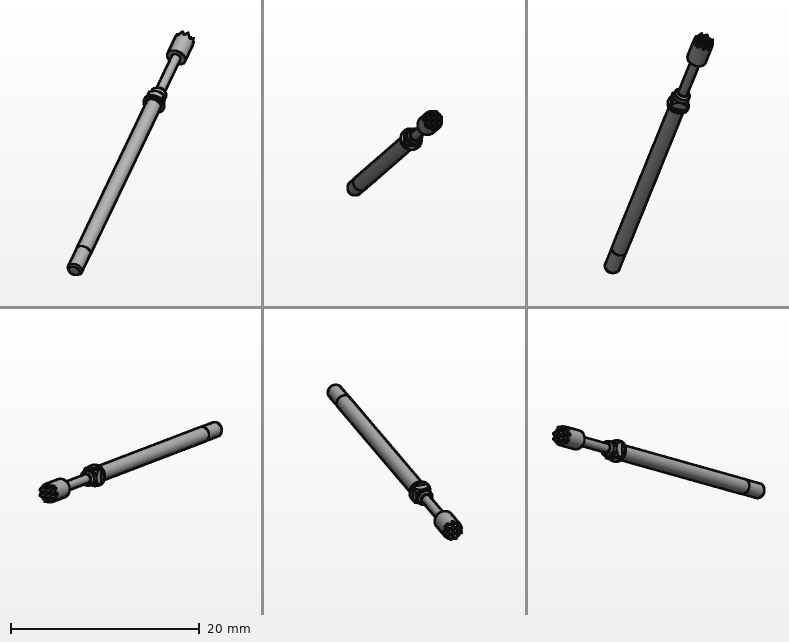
import cadquery as cq

TOTAL_LENGTH = 35.8

TAIL_LENGTH = 2.97
TAIL_DIAMETER = 1.6
TAIL_CHAMFER_LENGTH = 0.25
TAIL_CHAMFER_DEPTH = 0.18
BARREL_DIAMETER = 1.65

FLANGE_START = 25.53
FLANGE_THICKNESS = 0.3
FLANGE_DIAMETER = 2.3

SQUARE_WIDTH = BARREL_DIAMETER
SQUARE_CORNER_DIAMETER = FLANGE_DIAMETER
SQUARE_END = 26.78

TAPER_START = 27.28
MOUTH_END = 27.55
MOUTH_DIAMETER = 1.2

STEM_DIAMETER = 1.0
HEAD_START = 32.8
HEAD_DIAMETER = 2.08
CROWN_START = 35.25
CROWN_TIP_DIAMETER = 1.95

TEETH_PER_ROW = 4
TOOTH_PITCH = 0.6
TOOTH_HEIGHT = 0.5


def cylinder(diameter, start, end):
    """Cylinder along +Y between two stations."""
    return cq.Workplane("XZ", origin=(0, start, 0)).circle(diameter / 2).extrude(start - end)


def cone(start_diameter, end_diameter, start, end):
    """Truncated cone along +Y between two stations."""
    return (
        cq.Workplane("XZ", origin=(0, start, 0))
        .circle(start_diameter / 2)
        .workplane(offset=start - end)
        .circle(end_diameter / 2)
        .loft()
    )


def barrel():
    tail_face_diameter = TAIL_DIAMETER - 2 * TAIL_CHAMFER_DEPTH
    tail_tip = cone(tail_face_diameter, TAIL_DIAMETER, 0, TAIL_CHAMFER_LENGTH)
    tail = cylinder(TAIL_DIAMETER, TAIL_CHAMFER_LENGTH, TAIL_LENGTH)
    tube = cylinder(BARREL_DIAMETER, TAIL_LENGTH, TAPER_START)
    flange = cylinder(FLANGE_DIAMETER, FLANGE_START, FLANGE_START + FLANGE_THICKNESS)
    mouth = cone(BARREL_DIAMETER, MOUTH_DIAMETER, TAPER_START, MOUTH_END)
    return tail_tip.union(tail).union(tube).union(flange).union(mouth)


def square_section():
    start = FLANGE_START + FLANGE_THICKNESS
    corner_drop = (SQUARE_CORNER_DIAMETER - BARREL_DIAMETER) / 2
    turned_blank = cylinder(SQUARE_CORNER_DIAMETER, start, SQUARE_END).faces(">Y").chamfer(corner_drop)
    square_bar = cq.Workplane("XZ", origin=(0, start, 0)).rect(SQUARE_WIDTH, SQUARE_WIDTH)
    return turned_blank.intersect(square_bar.extrude(start - SQUARE_END))


def groove(center):
    """V groove along Z, centred at the given X, with its floor one tooth height below the tips."""
    return (
        cq.Workplane("XY", origin=(center, TOTAL_LENGTH, -HEAD_DIAMETER))
        .polyline([(-TOOTH_PITCH / 2, 0), (0, -TOOTH_HEIGHT), (TOOTH_PITCH / 2, 0)])
        .close()
        .extrude(2 * HEAD_DIAMETER)
    )


def serrated_head():
    body = cylinder(HEAD_DIAMETER, HEAD_START, CROWN_START)
    crown = cone(HEAD_DIAMETER, CROWN_TIP_DIAMETER, CROWN_START, TOTAL_LENGTH)
    head = body.union(crown)
    for index in range(TEETH_PER_ROW + 1):
        cutter = groove((index - TEETH_PER_ROW / 2) * TOOTH_PITCH)
        crossing_cutter = cutter.rotate((0, 0, 0), (0, 1, 0), 90)
        head = head.cut(cutter).cut(crossing_cutter)
    return head


stem = cylinder(STEM_DIAMETER, MOUTH_END, HEAD_START)
result = barrel().union(square_section()).union(stem).union(serrated_head())